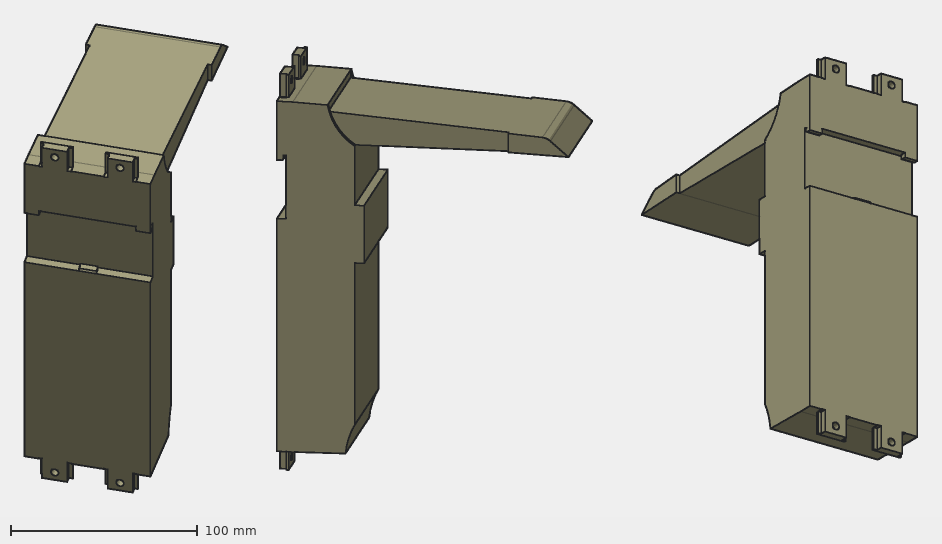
import cadquery as cq

WIDTH = 70.0
DEPTH = 159.2
HEIGHT = 220.8

TAB_HEIGHT = 12.5
BODY_BOTTOM = TAB_HEIGHT
BODY_TOP = HEIGHT - TAB_HEIGHT
BACK = 42.6
END_FLAT = 8.6
END_TAPER = 0.7
TOP_CORNER = (27.8, BODY_TOP - END_TAPER)
TOP_ARC_MIDDLE = (33.8, 193.7)
TOP_ARC_END = (BACK, 185.5)
BOTTOM_ARC_START = (BACK, 29.5)
BOTTOM_ARC_MIDDLE = (39.3, 21.9)
BOTTOM_CORNER = (37.5, BODY_BOTTOM + END_TAPER)

BLOCK_BACK = 47.7
BLOCK_BOTTOM = 120.1
BLOCK_TOP = 152.4

RECESS_DEPTH = 5.0
RECESS_BOTTOM = 143.0
RECESS_TOP = 178.2
LIP_THICKNESS = 3.8
LIP_DROP = 2.9
LIP_CHAMFER = 0.7
LIP_GAP = 53.9
LEDGE_DROP = 0.5
CATCH_WIDTH = 9.7
CATCH_TOP = 144.7
CATCH_CREST = (0.9, 143.5)

ARM_WIDTH = 65.5
ARM_START_TOP = 203.5
ARM_CORNER = (147.3, 195.7)
ARM_CORNER_RADIUS = 7.5
ARM_TIP_HEIGHT = 185.5
FLAP_START = 126.3
FLAP_BOTTOM = 186.5

TAB_INNER = 9.0
TAB_OUTER = 27.0
INNER_STEP = 2.2
OUTER_STEP = 1.8
STEP_CUT = 0.2
TAB_THICKNESS = RECESS_DEPTH
TAB_FRONT_THICKNESS = LIP_THICKNESS
HOLE_X = 18.0
HOLE_FROM_END = 5.0
HOLE_DIAMETER = 4.2


def across(outline, width):
    """Extrude a (Y, Z) wire symmetrically along X."""
    return outline.extrude(width / 2, both=True)


def box(x_range, y_range, z_range):
    """Box between the given lower and upper limits."""
    ranges = (x_range, y_range, z_range)
    size = [high - low for low, high in ranges]
    corner = [low for low, high in ranges]
    return cq.Workplane("XY").box(*size, centered=False).translate(tuple(corner))


def make_body():
    """Main block with its tapered ends, hollow rear corners and rear block."""
    outline = (
        cq.Workplane("YZ")
        .moveTo(0, BODY_BOTTOM)
        .lineTo(0, BODY_TOP)
        .lineTo(END_FLAT, BODY_TOP)
        .lineTo(*TOP_CORNER)
        .threePointArc(TOP_ARC_MIDDLE, TOP_ARC_END)
        .lineTo(BACK, BLOCK_TOP)
        .lineTo(BLOCK_BACK, BLOCK_TOP)
        .lineTo(BLOCK_BACK, BLOCK_BOTTOM)
        .lineTo(BACK, BLOCK_BOTTOM)
        .lineTo(*BOTTOM_ARC_START)
        .threePointArc(BOTTOM_ARC_MIDDLE, BOTTOM_CORNER)
        .lineTo(END_FLAT, BODY_BOTTOM)
        .close()
    )
    return across(outline, WIDTH)


def make_arm_seat():
    """Volume removed from the top of the body so that the arm meets an upright face."""
    return box((-ARM_WIDTH / 2, ARM_WIDTH / 2), (TOP_CORNER[0], BACK), (TOP_ARC_END[1], HEIGHT))


def make_recess():
    """Volume removed across the front for the rail, above a ledge that falls to the front."""
    outline = cq.Workplane("YZ").polyline([
        (0, RECESS_BOTTOM - LEDGE_DROP),
        (RECESS_DEPTH, RECESS_BOTTOM),
        (RECESS_DEPTH, RECESS_TOP),
        (0, RECESS_TOP),
    ]).close()
    return across(outline, WIDTH)


def make_lips():
    """Two lips hanging over the top of the recess, one at each side."""
    lip_bottom = RECESS_TOP - LIP_DROP
    outline = cq.Workplane("YZ").polyline([
        (0, RECESS_TOP),
        (0, lip_bottom),
        (LIP_THICKNESS - LIP_CHAMFER, lip_bottom),
        (LIP_THICKNESS, lip_bottom + LIP_CHAMFER),
        (LIP_THICKNESS, RECESS_TOP),
    ]).close()
    gap = cq.Workplane("XY").box(LIP_GAP, DEPTH, HEIGHT, centered=(True, True, False))
    return across(outline, WIDTH).cut(gap)


def make_catch():
    """Small wedge in the middle of the recess ledge, rooted just below it."""
    root = RECESS_BOTTOM - LEDGE_DROP
    outline = cq.Workplane("YZ").polyline([
        (0, root),
        CATCH_CREST,
        (LIP_THICKNESS, CATCH_TOP),
        (LIP_THICKNESS, root),
    ]).close()
    return across(outline, CATCH_WIDTH)


def make_arm():
    """Tapered arm with a rounded tip corner and full-width flaps at its free end."""
    outline = cq.Workplane("YZ").polyline([
        (TOP_CORNER[0], ARM_START_TOP),
        ARM_CORNER,
        (DEPTH, ARM_TIP_HEIGHT),
        (FLAP_START, FLAP_BOTTOM),
        TOP_ARC_END,
        (TOP_CORNER[0], TOP_ARC_END[1]),
    ]).close()
    corner = cq.selectors.NearestToPointSelector((0, *ARM_CORNER))
    full_width_arm = across(outline, WIDTH).edges(corner).fillet(ARM_CORNER_RADIUS)
    right_side = box((ARM_WIDTH / 2, WIDTH / 2), (0, FLAP_START), (0, HEIGHT))
    return full_width_arm.cut(right_side).cut(right_side.mirror("YZ"))


def make_tab(end):
    """Right-hand tab reaching from inside the body to the given end height, 0 or HEIGHT."""
    root = BODY_BOTTOM + STEP_CUT if end == 0 else BODY_TOP - STEP_CUT
    z_range = (min(root, end), max(root, end))
    hole_z = abs(end - HOLE_FROM_END)
    flange = box((TAB_INNER, TAB_OUTER), (TAB_FRONT_THICKNESS, TAB_THICKNESS), z_range)
    front = box((TAB_INNER + INNER_STEP, TAB_OUTER - OUTER_STEP), (0, TAB_FRONT_THICKNESS), z_range)
    hole = (
        cq.Workplane("XZ", origin=(HOLE_X, 0, hole_z))
        .circle(HOLE_DIAMETER / 2)
        .extrude(-TAB_THICKNESS)
    )
    return flange.union(front).cut(hole)


def make_tab_step(end):
    """Shallow notch in the body in front of the right-hand tab's flange."""
    depth = TAB_HEIGHT + STEP_CUT
    z_range = (0, depth) if end == 0 else (HEIGHT - depth, HEIGHT)
    return box((TAB_INNER, TAB_OUTER), (0, TAB_FRONT_THICKNESS), z_range)


result = make_body().cut(make_arm_seat()).cut(make_recess())
result = result.union(make_lips()).union(make_catch()).union(make_arm())
for tab_end in (0, HEIGHT):
    tab_step = make_tab_step(tab_end)
    tab = make_tab(tab_end)
    result = result.cut(tab_step).cut(tab_step.mirror("YZ"))
    result = result.union(tab).union(tab.mirror("YZ"))